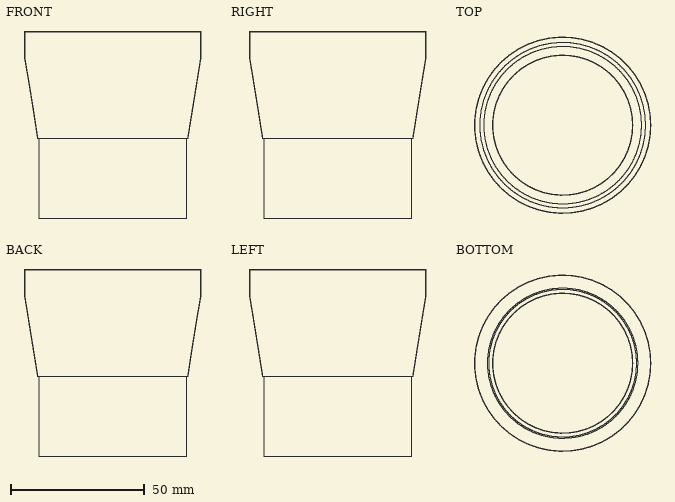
import cadquery as cq

spigot_height = 30.0
cone_height = 30.0
socket_height = 10.0

socket_wall = 2.0
spigot_wall = 1.5

shelf_width = 1.5

socket_outer_diameter = 66.0
bore_diameter = 52.3

bore_radius = bore_diameter / 2
spigot_outer_radius = bore_radius + spigot_wall
cone_base_outer_radius = bore_radius + socket_wall
socket_outer_radius = socket_outer_diameter / 2
socket_inner_radius = socket_outer_radius - socket_wall
cone_top_inner_radius = socket_inner_radius - shelf_width

cone_base_z = spigot_height
socket_floor_z = cone_base_z + cone_height
top_z = socket_floor_z + socket_height


def revolved_profile(half_section):
    """Revolve a closed (radius, height) outline about the Z axis."""
    return (
        cq.Workplane("XZ")
        .polyline(half_section)
        .close()
        .revolve(360, (0, 0, 0), (0, 1, 0))
    )


outer_wall = [
    (spigot_outer_radius, 0),
    (spigot_outer_radius, cone_base_z),
    (cone_base_outer_radius, cone_base_z),
    (socket_outer_radius, socket_floor_z),
    (socket_outer_radius, top_z),
]

inner_wall = [
    (socket_inner_radius, top_z),
    (socket_inner_radius, socket_floor_z),
    (cone_top_inner_radius, socket_floor_z),
    (bore_radius, cone_base_z),
    (bore_radius, 0),
]

result = revolved_profile(outer_wall + inner_wall)